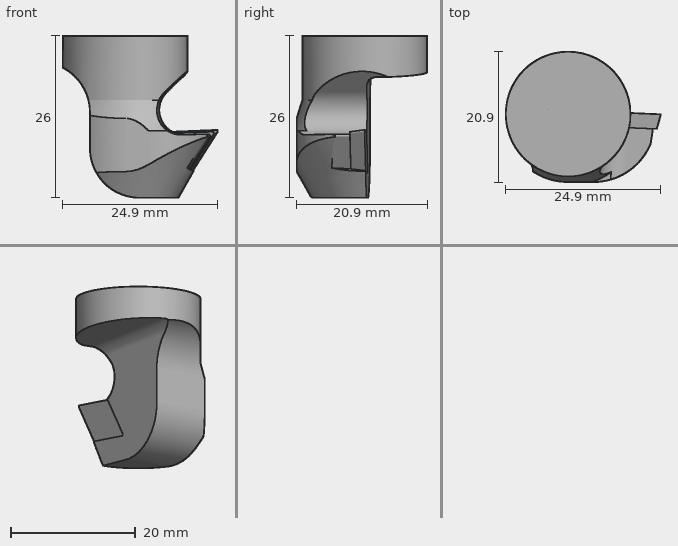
import cadquery as cq
import math

HEIGHT = 25.95
SHANK_R = 20.0 / 2
SHANK_BOTTOM = 15.67
CLEARANCE = 25.95

HEAD_SHIFT_X = 4.0
HEAD_FRONT_Y = -10.92
HEAD_TOP = 10.75
NECK_CONE_ANGLE = 17.5
NOSE_CONE_ANGLE = 29.5
NOSE_BOTTOM_R = 8.53

LEFT_X = -5.65
LEFT_ARC_R = 8.0
LEFT_ARC_TOP = 13.75

RAKE_ANGLE = 2.5
RAKE_Y = 0.62
UNDERSIDE_Z = 20.1
UNDERSIDE_SLOPE = 4.8
UNDERSIDE_FILLET = 3.45 / 2

GULLET_R = 4.0
GULLET_X = 9.5
GULLET_Z = 14.09
WALL_SLOPE = 45.0
FLOOR_SLOPE = 2.0

INSERT_THICKNESS = 2.39
INSERT_SIDE = 7.78
INSERT_ANGLE = 55.0
INSERT_TILT = 2.4
INSERT_RELIEF = 7.0
INSERT_CORNER_R = 0.2
INSERT_TIP = (15.07, 10.92)

FLANK_INSET = 0.35
FLANK_RELIEF = 5.0
FLANK_BOTTOM = 4.55
TIP_FILLET = 0.3
FLANK_TOP_POINT = (13.83, -2.65, 10.25)


def tangent(degrees):
    return math.tan(math.radians(degrees))


def direction(degrees):
    """Unit vector at an angle above the horizontal, in a rake face sketch."""
    return cq.Vector(math.cos(math.radians(degrees)), math.sin(math.radians(degrees)))


rake_along = cq.Vector(direction(-RAKE_ANGLE).x, direction(-RAKE_ANGLE).y, 0)
rake_plane = cq.Plane(
    origin=(0, RAKE_Y, 0), xDir=rake_along, normal=rake_along.cross(cq.Vector(0, 0, 1))
)


def make_blank():
    """Shank, neck cone and slot-shaped head, with the relief cone at the bottom."""
    slot_length = 2 * SHANK_R + HEAD_SHIFT_X
    head_column = (
        cq.Workplane("XY")
        .center(HEAD_SHIFT_X / 2, HEAD_FRONT_Y + SHANK_R)
        .slot2D(slot_length, 2 * SHANK_R)
        .extrude(SHANK_BOTTOM)
    )
    neck_foot_r = SHANK_R + (SHANK_BOTTOM - HEAD_TOP) * tangent(NECK_CONE_ANGLE)
    neck_limit = (
        cq.Workplane("XZ")
        .polyline([
            (0, 0),
            (CLEARANCE, 0),
            (CLEARANCE, HEAD_TOP),
            (neck_foot_r, HEAD_TOP),
            (SHANK_R, SHANK_BOTTOM),
            (0, SHANK_BOTTOM),
        ])
        .close()
        .revolve(360, (0, 0), (0, 1))
    )
    shank = (
        cq.Workplane("XY").workplane(offset=SHANK_BOTTOM).circle(SHANK_R).extrude(HEIGHT - SHANK_BOTTOM)
    )
    cone_top_r = NOSE_BOTTOM_R + HEIGHT * tangent(NOSE_CONE_ANGLE)
    nose_cone = (
        cq.Workplane("XZ")
        .polyline([(0, 0), (NOSE_BOTTOM_R, 0), (cone_top_r, HEIGHT), (0, HEIGHT)])
        .close()
        .revolve(360, (0, 0), (0, 1))
    )
    return head_column.intersect(neck_limit).union(shank).intersect(nose_cone)


def cut_left_side(body):
    """Hollow arc below the shank, flat side and rounded bottom corner."""
    corner = direction(225) * LEFT_ARC_R
    hollow_mid = direction(45) * LEFT_ARC_R
    hollow_x = LEFT_X - LEFT_ARC_R
    bottom_x = LEFT_X + LEFT_ARC_R
    cutter = (
        cq.Workplane("XZ")
        .moveTo(hollow_x, LEFT_ARC_TOP + LEFT_ARC_R)
        .threePointArc((hollow_x + hollow_mid.x, LEFT_ARC_TOP + hollow_mid.y), (LEFT_X, LEFT_ARC_TOP))
        .lineTo(LEFT_X, LEFT_ARC_R)
        .threePointArc((bottom_x + corner.x, LEFT_ARC_R + corner.y), (bottom_x, 0))
        .lineTo(hollow_x, 0)
        .close()
        .extrude(CLEARANCE, both=True)
    )
    return body.cut(cutter)


def cut_rake_side(body):
    """Remove the +Y half below the sloped underside, with a filleted inner corner."""
    slope = CLEARANCE * tangent(UNDERSIDE_SLOPE)
    cutter = (
        cq.Workplane(rake_plane)
        .polyline([
            (-CLEARANCE, -CLEARANCE),
            (CLEARANCE, -CLEARANCE),
            (CLEARANCE, UNDERSIDE_Z - slope),
            (-CLEARANCE, UNDERSIDE_Z + slope),
        ])
        .close()
        .extrude(-CLEARANCE)
    )
    inner_edge = cq.selectors.NearestToPointSelector((0, RAKE_Y, UNDERSIDE_Z))
    return body.cut(cutter.edges(inner_edge).fillet(UNDERSIDE_FILLET))


def cut_gullet(body):
    """Open chip gullet: sloping wall, round bottom and gently rising floor."""
    centre = cq.Vector(GULLET_X, GULLET_Z)
    wall_start = centre + direction(90 + WALL_SLOPE) * GULLET_R
    wall_end = wall_start + direction(WALL_SLOPE) * CLEARANCE
    arc_mid = centre + direction(180) * GULLET_R
    floor_start = centre + direction(270 + FLOOR_SLOPE) * GULLET_R
    floor_end = floor_start + direction(FLOOR_SLOPE) * CLEARANCE
    cutter = (
        cq.Workplane(rake_plane)
        .moveTo(wall_end.x, wall_end.y)
        .lineTo(wall_start.x, wall_start.y)
        .threePointArc((arc_mid.x, arc_mid.y), (floor_start.x, floor_start.y))
        .lineTo(floor_end.x, floor_end.y)
        .close()
        .extrude(CLEARANCE, both=True)
    )
    return body.cut(cutter)


def cut_flank(body):
    """Relieved flat beside the insert, ending above the insert's lower corner."""
    flank_angle = INSERT_ANGLE + INSERT_TILT
    up = direction(flank_angle)
    out = direction(flank_angle - 90)
    tip = cq.Vector(*INSERT_TIP) - out * FLANK_INSET
    foot = tip - up * ((tip.y - FLANK_BOTTOM) / up.y)
    lean = direction(FLANK_RELIEF)
    up_axis = rake_along * up.x + cq.Vector(0, 0, up.y)
    out_axis = rake_along * out.x + cq.Vector(0, 0, out.y)
    origin = rake_plane.toWorldCoords((foot.x, foot.y, 0))
    plane = cq.Plane(
        origin=origin, xDir=up_axis, normal=out_axis * lean.x + rake_plane.zDir * lean.y
    )
    cutter = (
        cq.Workplane(plane)
        .rect(CLEARANCE, 2 * CLEARANCE)
        .extrude(CLEARANCE)
        .translate(up_axis * (CLEARANCE / 2))
    )
    return body.cut(cutter)


def make_insert():
    tip = cq.Vector(*INSERT_TIP)
    top_side = direction(180 + INSERT_TILT) * INSERT_SIDE
    flank_side = direction(180 + INSERT_TILT + INSERT_ANGLE) * INSERT_SIDE
    corners = [tip, tip + top_side, tip + top_side + flank_side, tip + flank_side]
    blank = (
        cq.Workplane(rake_plane)
        .polyline([(p.x, p.y) for p in corners])
        .close()
        .extrude(INSERT_THICKNESS, taper=INSERT_RELIEF)
    )
    normal = rake_plane.zDir
    side_edges = cq.selectors.InverseSelector(cq.selectors.PerpendicularDirSelector(normal))
    return blank.edges(side_edges).fillet(INSERT_CORNER_R)


def make_holder(insert):
    body = cut_flank(cut_gullet(cut_rake_side(cut_left_side(make_blank()))))
    body = body.cut(insert)
    tip_edge = cq.selectors.NearestToPointSelector(FLANK_TOP_POINT)
    return body.edges(tip_edge).fillet(TIP_FILLET)


insert = make_insert()
holder = make_holder(insert)
result = cq.Compound.makeCompound([holder.val(), insert.val()])